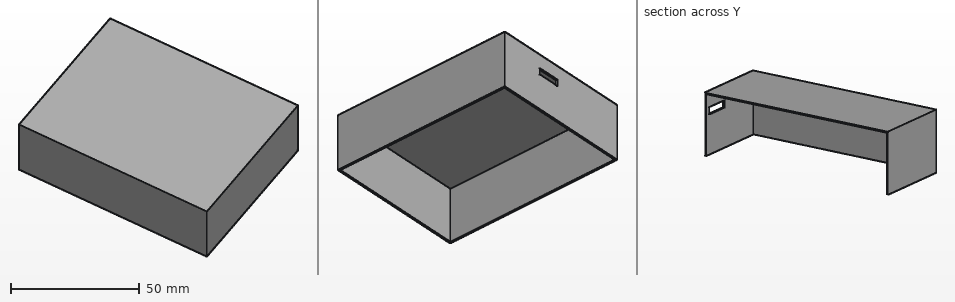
import cadquery as cq

length = 86.6
width = 66.6
height = 26.0

wall = 0.8

slot_width = 10.5
slot_height = 3.0
slot_center_y = 7.35
slot_drop = 6.5


def make_shell():
    """Rectangular cover with a closed roof and an open bottom."""
    block = cq.Workplane("XY").box(length, width, height, centered=(True, True, False))
    return block.faces("<Z").shell(-wall)


def make_slot_cutter():
    """Bar centred in the -X wall and long enough to pass right through it."""
    slot_center_z = height - slot_drop - slot_height / 2
    cutter_length = 2 * wall
    wall_center_x = -length / 2 + wall / 2
    return (
        cq.Workplane("XY")
        .box(cutter_length, slot_width, slot_height)
        .translate((wall_center_x, slot_center_y, slot_center_z))
    )


result = make_shell().cut(make_slot_cutter())